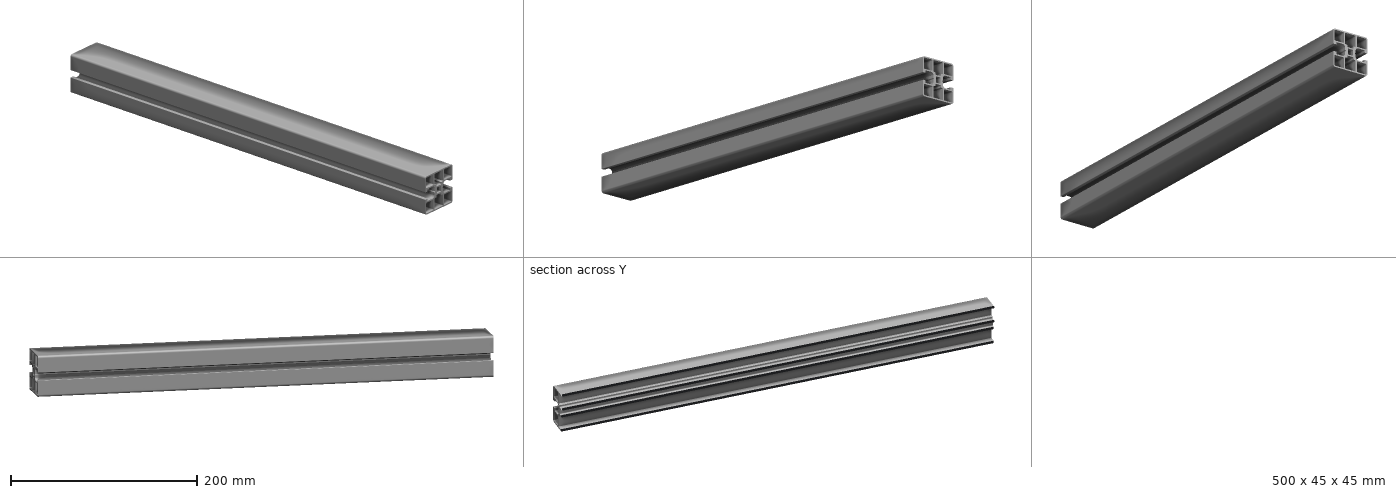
import cadquery as cq

length = 500.0
side = 45.0
corner_radius = 2.5
wall = 1.5

slot_mouth = 8.5
slot_width = 14.0
lip_thickness = 4.0
lip_radius = 0.25
slot_bottom_radius = 3.5
slot_bottom_offset = 7.0
groove_width = 2.0
groove_depth = 1.0

bore_side = 7.0
bore_fillet = 1.0

middle_cell_width = 14.0
middle_cell_fillet = 0.5
neck_width = 8.0
neck_top = 7.5
shoulder_top = 8.0
corner_cell_floor = 8.5
corner_cell_fillet = 1.0

half_side = side / 2
half_mouth = slot_mouth / 2
cell_limit = half_side - wall
corner_cell_inner_face = middle_cell_width / 2 + wall
middle_cell_floor = bore_side / 2 + wall


def section_plane():
    """Sketch plane on the -X end, with Y and Z as its local axes."""
    return cq.Workplane("YZ", origin=(-length / 2, 0, 0))


def box_between(y_start, y_end, z_start, z_end):
    """Full-length bar with a rectangular section between the given Y and Z limits."""
    return (
        section_plane()
        .center((y_start + y_end) / 2, (z_start + z_end) / 2)
        .rect(y_end - y_start, z_end - z_start)
        .extrude(length)
    )


def outer_bar():
    return section_plane().rect(side, side).extrude(length).edges("|X").fillet(corner_radius)


def bore():
    return section_plane().rect(bore_side, bore_side).extrude(length).edges("|X").fillet(bore_fillet)


def corner_cell():
    """Hollow cell in the +Y +Z corner, with rounded edges."""
    cell = box_between(corner_cell_inner_face, cell_limit, corner_cell_floor, cell_limit)
    return cell.edges("|X").fillet(corner_cell_fillet)


def middle_cell():
    """Hollow cell above the bore, narrowing through sloped shoulders to a rounded neck."""
    right_side = [
        (neck_width / 2, middle_cell_floor),
        (neck_width / 2, neck_top),
        (middle_cell_width / 2, shoulder_top),
        (middle_cell_width / 2, cell_limit),
    ]
    left_side = [(-y, z) for y, z in reversed(right_side)]
    cell = section_plane().polyline(right_side + left_side).close().extrude(length)
    cell = cell.edges("|X and >Z").fillet(middle_cell_fillet)
    return cell.edges("|X and <Z").fillet(bore_fillet)


def slot():
    """T-slot in the +Y face, with rounded bottom corners and a V-groove along its bottom."""
    chamber_end = half_side - lip_thickness
    chamber = box_between(slot_bottom_offset, chamber_end, -slot_width / 2, slot_width / 2)
    chamber = chamber.edges("|X and <Y").fillet(slot_bottom_radius)
    mouth = box_between(slot_bottom_offset, half_side, -half_mouth, half_mouth)
    groove_points = [
        (slot_bottom_offset, groove_width / 2),
        (slot_bottom_offset - groove_depth, 0),
        (slot_bottom_offset, -groove_width / 2),
    ]
    groove = section_plane().polyline(groove_points).close().extrude(length)
    return chamber.union(mouth).union(groove)


def with_mirror(body, plane):
    """The body together with its mirror image in a plane through the axis."""
    return body.union(body.mirror(plane))


section = outer_bar().cut(bore())
section = section.cut(with_mirror(middle_cell(), "XY"))
section = section.cut(with_mirror(slot(), "XZ"))
section = section.cut(with_mirror(with_mirror(corner_cell(), "XY"), "XZ"))

for y in (-half_side, half_side):
    for z in (-half_mouth, half_mouth):
        mouth_edge = cq.selectors.NearestToPointSelector((0, y, z))
        section = section.edges(mouth_edge).fillet(lip_radius)

result = section